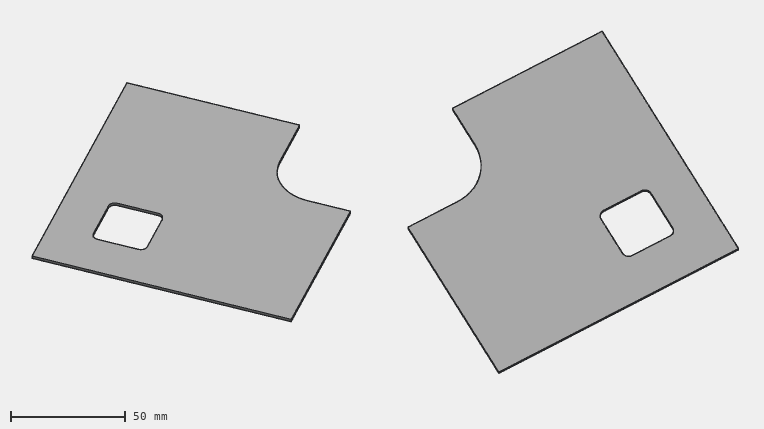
import cadquery as cq

side = 120.0
thickness = 1.5

notch_x = side * 2 / 3
notch_y = 75.0
notch_radius = side / 6

window_margin = side / 6
window_side = 25.0
window_radius = 3.0


def make_plate():
    """L-shaped plate with its -X -Y corner at the origin."""
    outline = (
        cq.Workplane("XY")
        .lineTo(side, 0)
        .lineTo(side, notch_y)
        .lineTo(notch_x, notch_y)
        .lineTo(notch_x, side)
        .lineTo(0, side)
        .close()
    )
    plate = outline.extrude(thickness)
    inner_corner = cq.selectors.NearestToPointSelector((notch_x, notch_y, thickness / 2))
    return plate.edges("|Z").edges(inner_corner).fillet(notch_radius)


def make_window():
    """Rounded square cutter through the full thickness."""
    center = window_margin + window_side / 2
    return (
        cq.Workplane("XY")
        .center(center, center)
        .rect(window_side, window_side)
        .extrude(thickness)
        .edges("|Z")
        .fillet(window_radius)
    )


result = make_plate().cut(make_window())